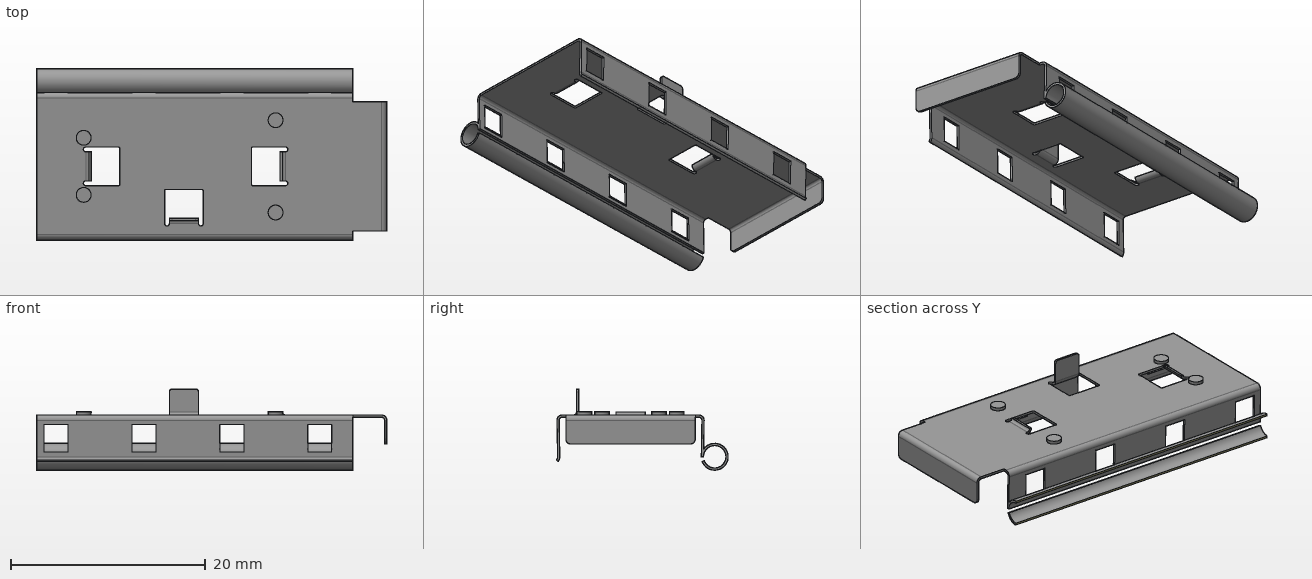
import math

import cadquery as cq

SHEET = 0.25
BEND_IN = 0.3
BEND_OUT = BEND_IN + SHEET

BODY_LENGTH = 32.5
HALF_WIDTH = 7.57
WALL_LEAN = math.radians(1.0)
LIP_START_Z = -4.3
LIP_TURN = math.radians(45)
LIP_RADIUS = 0.45

TUBE_RADIUS = 1.39
TUBE_BOTTOM_Z = -5.69
TUBE_CENTER_Z = TUBE_BOTTOM_Z + TUBE_RADIUS
TUBE_END_ANGLE = math.radians(20)

TOTAL_LENGTH = 35.99
FLANGE_WIDTH = 13.3
FLANGE_BOTTOM_Z = -3.0
FLANGE_CORNER = 0.5

WINDOW_PITCH = 9.03
WINDOW_COUNT = 4
FIRST_WINDOW_X = 2.0
WINDOW_LENGTH = 2.45
WINDOW_TOP_Z = -1.0
WINDOW_HEIGHT = 2.8

OPENING_DEPTH = 3.72
OPENING_WIDTH = 3.94
OPENING_CORNER = 0.1
TAB_WIDTH = 3.02
RELIEF_PAST_FOLD = 0.25
RELIEF_WIDTH = (OPENING_WIDTH - TAB_WIDTH) / 2
LEFT_OPENING_X = 4.82
RIGHT_OPENING_X = 25.8
MIDDLE_OPENING = (15.14, -6.11)
TALL_TAB_TOP_Z = 2.66
TALL_TAB_CORNER = 0.3

BUTTON_DIAMETER = 1.52
BUTTON_HEIGHT = 0.33
LEFT_BUTTONS = (4.84, 2.93)
RIGHT_BUTTONS = (24.55, 4.74)


def polar(center, radius, angle):
    return (center[0] + radius * math.cos(angle), center[1] + radius * math.sin(angle))


def arc_to(path, center, radius, start, end):
    """Continue a path along an arc that begins at its current point."""
    middle = (start + end) / 2
    return path.threePointArc(polar(center, radius, middle), polar(center, radius, end))


def wall_slide(point, z):
    """Follow the lean of a wall (drawn on the positive side) from a point to a height."""
    return (point[0] - (point[1] - z) * math.tan(WALL_LEAN), z)


FOLD_CENTER = (HALF_WIDTH - BEND_OUT, -BEND_OUT)
FOLD_END = -WALL_LEAN
WALL_OUTER_TOP = polar(FOLD_CENTER, BEND_OUT, FOLD_END)
WALL_INNER_TOP = polar(FOLD_CENTER, BEND_IN, FOLD_END)


def half_channel(outer_foot, add_foot):
    """Half the top, the fold and one wall; add_foot takes the outline round to the inner face."""
    path = cq.Workplane("YZ").moveTo(0, 0).lineTo(FOLD_CENTER[0], 0)
    path = arc_to(path, FOLD_CENTER, BEND_OUT, math.pi / 2, FOLD_END)
    path = path.lineTo(*outer_foot)
    path = add_foot(path)
    path = path.lineTo(*WALL_INNER_TOP)
    path = arc_to(path, FOLD_CENTER, BEND_IN, FOLD_END, math.pi / 2)
    return path.lineTo(0, -SHEET).close().extrude(BODY_LENGTH)


def front_half():
    """Wall whose foot turns outward in a short curved lip."""
    outer_foot = wall_slide(WALL_OUTER_TOP, LIP_START_Z)
    lip_center = polar(outer_foot, LIP_RADIUS, -WALL_LEAN)
    inner_radius = LIP_RADIUS + SHEET
    start = math.pi - WALL_LEAN
    end = start + LIP_TURN

    def add_lip(path):
        path = arc_to(path, lip_center, LIP_RADIUS, start, end)
        path = path.lineTo(*polar(lip_center, inner_radius, end))
        return arc_to(path, lip_center, inner_radius, end, start)

    return half_channel(outer_foot, add_lip).mirror("XZ")


BACK_FOOT_OUTER = wall_slide(WALL_OUTER_TOP, TUBE_CENTER_Z)
BACK_FOOT_INNER = wall_slide(WALL_INNER_TOP, TUBE_CENTER_Z)


def back_half():
    """Plain wall that ends level with the center of the tube."""
    return half_channel(BACK_FOOT_OUTER, lambda path: path.lineTo(*BACK_FOOT_INNER))


def curled_tube():
    """Open tube, tangent to the inner face of the back wall at its foot."""
    center = (BACK_FOOT_INNER[0] + TUBE_RADIUS, TUBE_CENTER_Z)
    bore = TUBE_RADIUS - SHEET
    start = math.pi
    end = TUBE_END_ANGLE - math.pi
    tube = cq.Workplane("YZ").moveTo(*polar(center, TUBE_RADIUS, start))
    tube = arc_to(tube, center, TUBE_RADIUS, start, end)
    tube = tube.lineTo(*polar(center, bore, end))
    tube = arc_to(tube, center, bore, end, start)
    return tube.close().extrude(BODY_LENGTH)


def end_flange():
    """Narrower continuation of the top, folded down at the far end."""
    center = (TOTAL_LENGTH - BEND_OUT, -BEND_OUT)
    path = cq.Workplane("XZ").moveTo(BODY_LENGTH - SHEET, 0).lineTo(center[0], 0)
    path = arc_to(path, center, BEND_OUT, math.pi / 2, 0)
    path = path.lineTo(TOTAL_LENGTH, FLANGE_BOTTOM_Z).lineTo(TOTAL_LENGTH - SHEET, FLANGE_BOTTOM_Z)
    path = path.lineTo(TOTAL_LENGTH - SHEET, -BEND_OUT)
    path = arc_to(path, center, BEND_IN, 0, math.pi / 2)
    path = path.lineTo(BODY_LENGTH - SHEET, -SHEET).close()
    flange = path.extrude(FLANGE_WIDTH / 2, both=True)
    return flange.faces("<Z").edges("|X").fillet(FLANGE_CORNER)


def windows():
    """Cutters for the row of rectangular windows through both walls."""
    center_z = WINDOW_TOP_Z - WINDOW_HEIGHT / 2
    centers = [(FIRST_WINDOW_X + i * WINDOW_PITCH, center_z) for i in range(WINDOW_COUNT)]
    row = cq.Workplane("XZ").pushPoints(centers).rect(WINDOW_LENGTH, WINDOW_HEIGHT)
    return row.extrude(HALF_WIDTH, both=True)


def opening():
    """Cutter for one opening: relief ends at X = 0, opening toward +X, centred on Y = 0."""
    fold_x = RELIEF_PAST_FOLD
    base = cq.Workplane("XY").workplane(offset=-2 * SHEET)
    cut_height = 3 * SHEET
    main = base.center((fold_x + OPENING_DEPTH) / 2, 0)
    main = main.rect(OPENING_DEPTH - fold_x, OPENING_WIDTH).extrude(cut_height)
    main = main.edges("|Z and >X").fillet(OPENING_CORNER)
    relief_y = (TAB_WIDTH + RELIEF_WIDTH) / 2
    relief_length = OPENING_DEPTH / 2
    for y in (-relief_y, relief_y):
        relief = base.center(relief_length / 2, y).slot2D(relief_length, RELIEF_WIDTH)
        main = main.union(relief.extrude(cut_height))
    return main


def tab(top_z):
    """Tab that curves up out of the top, starting at the fold line beside the reliefs."""
    start_x = RELIEF_PAST_FOLD
    center = (start_x, BEND_IN)
    root_x = start_x - SHEET
    path = cq.Workplane("XZ").moveTo(root_x, -SHEET).lineTo(start_x, -SHEET)
    path = arc_to(path, center, BEND_OUT, -math.pi / 2, 0)
    if top_z > BEND_IN:
        path = path.lineTo(start_x + BEND_OUT, top_z).lineTo(start_x + BEND_IN, top_z)
    path = path.lineTo(start_x + BEND_IN, BEND_IN)
    path = arc_to(path, center, BEND_IN, 0, -math.pi / 2)
    return path.lineTo(root_x, 0).close().extrude(TAB_WIDTH / 2, both=True)


def place(shape, turn, position):
    """Turn a shape about Z, then move it across the top."""
    return shape.rotate((0, 0, 0), (0, 0, 1), turn).translate((position[0], position[1], 0))


def buttons(position):
    """Pair of round buttons at one X, mirrored about Y = 0."""
    x, y = position
    base = cq.Workplane("XY").workplane(offset=-SHEET)
    return base.pushPoints([(x, -y), (x, y)]).circle(BUTTON_DIAMETER / 2).extrude(SHEET + BUTTON_HEIGHT)


short_tab = tab(BEND_IN)
tall_tab = tab(TALL_TAB_TOP_Z).faces(">Z").edges("|X").fillet(TALL_TAB_CORNER)

openings = [
    (short_tab, 0, (LEFT_OPENING_X, 0)),
    (short_tab, 180, (RIGHT_OPENING_X, 0)),
    (tall_tab, 90, MIDDLE_OPENING),
]

result = front_half().union(back_half()).cut(windows())
result = result.union(curled_tube()).union(end_flange())
for folded_tab, turn, position in openings:
    result = result.cut(place(opening(), turn, position)).union(place(folded_tab, turn, position))
result = result.union(buttons(LEFT_BUTTONS)).union(buttons(RIGHT_BUTTONS))